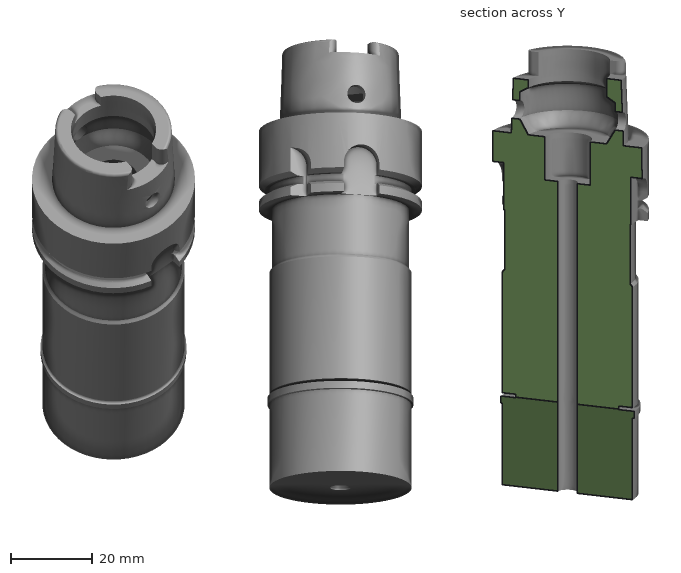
import cadquery as cq
import math

total_height = 110.0
nut_height = 22.7
ring_bottom = 20.7
ring_chamfer = 0.2
body_bottom = 23.4
shoulder_chamfer_bottom = 54.2
shoulder_top = 55.0
flange_bottom = 70.1
groove_lower_edge = 72.2
groove_bottom = 73.0
groove_top = 75.1
groove_upper_edge = 76.1
flange_top = 90.0

through_hole_radius = 2.5
neck_radius = 13.9
ring_radius = 17.9
body_radius = 17.5
nut_radius = body_radius
shank_radius = 16.8
flange_radius = 20.0
groove_mouth_radius = 18.6
groove_radius = 17.5
taper_base_radius = 15.1
taper_top_radius = 14.3
taper_edge_fillet = 0.8

mouth_radius = 10.5
mouth_depth = 8.1
clamping_radius = 12.8
clamping_cone_height = 1.3
clamping_end_depth = 16.2
pocket_depth = total_height - flange_top
thread_hole_radius = 6.0
thread_hole_depth = 11.0

drive_slot_half_width = 4.2
drive_slot_land_x = 12.9
drive_slot_corner_radius = 1.8
drive_slot_depths = {-1: 3.4, 1: 6.0}

cross_hole_radius = 2.3
cross_hole_depth = 14.0

flange_slot_radius = 4.5
flange_slot_arch_z = 77.5
flange_slot_floor_x = 17.0
index_notch_floor_x = 12.0
index_notch_y = 16.5

overshoot = 5.5


def revolve(points):
    """Solid of revolution about Z from (radius, height) points."""
    return cq.Workplane("XZ").polyline(points).close().revolve(360, (0, 0), (0, 1))


def holder_blank():
    """Turned outside of the holder, from the neck on the nut up to the taper."""
    return revolve([
        (0, nut_height),
        (neck_radius, nut_height),
        (neck_radius, body_bottom),
        (body_radius, body_bottom),
        (body_radius, shoulder_chamfer_bottom),
        (shank_radius, shoulder_top),
        (shank_radius, flange_bottom),
        (flange_radius, flange_bottom),
        (flange_radius, groove_lower_edge),
        (groove_mouth_radius, groove_bottom),
        (groove_radius, groove_bottom),
        (groove_radius, groove_top),
        (groove_mouth_radius, groove_top),
        (flange_radius, groove_upper_edge),
        (flange_radius, flange_top),
        (taper_base_radius, flange_top),
        (taper_top_radius, total_height),
        (0, total_height),
    ]).faces(">Z").edges().fillet(taper_edge_fillet)


def clamping_bore():
    """Mouth, wider clamping groove, coned end, threaded hole and through hole."""
    clamping_start = total_height - mouth_depth
    clamping_end = total_height - clamping_end_depth
    pocket_floor = total_height - pocket_depth
    thread_hole_floor = pocket_floor - thread_hole_depth
    return revolve([
        (0, nut_height),
        (through_hole_radius, nut_height),
        (through_hole_radius, thread_hole_floor),
        (thread_hole_radius, thread_hole_floor),
        (thread_hole_radius, pocket_floor),
        (mouth_radius, pocket_floor),
        (clamping_radius, clamping_end),
        (clamping_radius, clamping_start - clamping_cone_height),
        (mouth_radius, clamping_start),
        (mouth_radius, total_height),
        (0, total_height),
    ])


def drive_slot(side, depth):
    """Slot across the rim on one X side, flaring round its outer corners."""
    arc_start_x = drive_slot_land_x - drive_slot_corner_radius
    arc_end_y = drive_slot_half_width + drive_slot_corner_radius
    diagonal = drive_slot_corner_radius * math.sqrt(0.5)
    arc_middle = (arc_start_x + diagonal, arc_end_y - diagonal)
    outer_x = drive_slot_land_x + overshoot
    outer_y = taper_base_radius
    outline = (
        cq.Workplane("XY", origin=(0, 0, total_height - depth))
        .moveTo(0, drive_slot_half_width)
        .lineTo(arc_start_x, drive_slot_half_width)
        .threePointArc(arc_middle, (drive_slot_land_x, arc_end_y))
        .lineTo(drive_slot_land_x, outer_y)
        .lineTo(outer_x, outer_y)
        .lineTo(outer_x, -outer_y)
        .lineTo(drive_slot_land_x, -outer_y)
        .lineTo(drive_slot_land_x, -arc_end_y)
        .threePointArc((arc_middle[0], -arc_middle[1]), (arc_start_x, -drive_slot_half_width))
        .lineTo(0, -drive_slot_half_width)
        .close()
    )
    slot = outline.extrude(depth + overshoot)
    return slot if side > 0 else slot.mirror("YZ")


def cross_hole():
    """Through hole along X, below the drive slots."""
    return (
        cq.Workplane("YZ", origin=(0, 0, total_height - cross_hole_depth))
        .circle(cross_hole_radius)
        .extrude(flange_radius, both=True)
    )


def flange_slot(side, floor_x, centre_y):
    """Round-topped slot open at the flange underside, with a flat floor facing X."""
    slot = (
        cq.Workplane("YZ", origin=(floor_x, centre_y, flange_bottom))
        .moveTo(-flange_slot_radius, 0)
        .lineTo(-flange_slot_radius, flange_slot_arch_z - flange_bottom)
        .threePointArc(
            (0, flange_slot_arch_z - flange_bottom + flange_slot_radius),
            (flange_slot_radius, flange_slot_arch_z - flange_bottom),
        )
        .lineTo(flange_slot_radius, 0)
        .close()
        .extrude(flange_radius)
    )
    return slot if side > 0 else slot.mirror("YZ")


def make_holder():
    """Tool holder: taper, flange and shank in one body."""
    holder = holder_blank().cut(clamping_bore()).cut(cross_hole())
    for side, depth in drive_slot_depths.items():
        holder = holder.cut(drive_slot(side, depth))
        holder = holder.cut(flange_slot(side, flange_slot_floor_x, 0))
    return holder.cut(flange_slot(-1, index_notch_floor_x, index_notch_y))


def make_nut():
    """Round nut with a raised ring at its top, under the holder's neck."""
    return revolve([
        (through_hole_radius, 0),
        (nut_radius, 0),
        (nut_radius, ring_bottom),
        (ring_radius, ring_bottom + ring_chamfer),
        (ring_radius, nut_height),
        (through_hole_radius, nut_height),
    ])


holder = make_holder()
nut = make_nut()

result = cq.Compound.makeCompound([holder.val(), nut.val()])